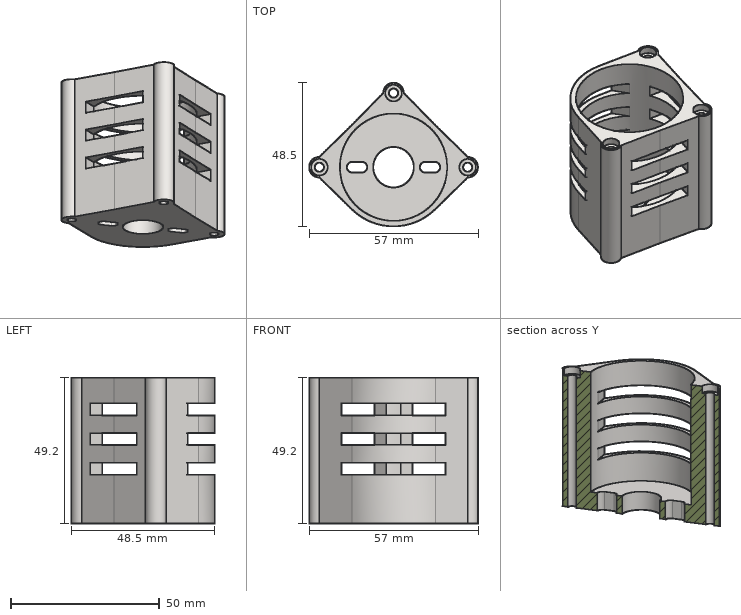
import cadquery as cq
import math

height = 49.25
shell_radius = 20.0
bore_radius = 18.1
boss_radius = 3.5
boss_offset = 25.0

base_thickness = 6.5
center_hole_diameter = 13.6
slot_length = 6.8
slot_width = 3.5
slot_offset = 12.3

screw_diameter = 3.0
screw_head_diameter = 5.6
screw_head_depth = 2.5

window_count = 3
window_height = 4.0
window_pitch = 10.0
first_window_z = 16.5
rear_window_width = 22.0
front_window_width = 35.0
cutter_reach = 40.0

boss_centers = [(-boss_offset, 0), (boss_offset, 0), (0, boss_offset)]


def polar(radius, angle):
    """Point at a radius and an angle in radians from +X."""
    return (radius * math.cos(angle), radius * math.sin(angle))


def mirrored(point):
    """Point reflected across the YZ plane."""
    return (-point[0], point[1])


def make_body():
    """Round shell joined to three corner bosses by flat flanks tangent to the shell."""
    corner_distance = math.hypot(boss_offset, boss_radius)
    corner_angle = math.atan2(boss_radius, boss_offset)
    tangent_angle = corner_angle + math.acos(shell_radius / corner_distance)
    crease_angle = math.radians(45)
    crease_radius = shell_radius / math.cos(tangent_angle - crease_angle)
    rear_crease = polar(crease_radius, crease_angle)
    front_tangent = polar(shell_radius, -tangent_angle)
    front_corner = (boss_offset, -boss_radius)
    side_corner = (boss_offset, boss_radius)
    rear_corner = (boss_radius, boss_offset)
    body = (
        cq.Workplane("XY")
        .moveTo(*front_tangent)
        .lineTo(*front_corner)
        .lineTo(*side_corner)
        .lineTo(*rear_crease)
        .lineTo(*rear_corner)
        .lineTo(*mirrored(rear_corner))
        .lineTo(*mirrored(rear_crease))
        .lineTo(*mirrored(side_corner))
        .lineTo(*mirrored(front_corner))
        .lineTo(*mirrored(front_tangent))
        .threePointArc((0, -shell_radius), front_tangent)
        .close()
        .extrude(height)
    )
    bosses = cq.Workplane("XY").pushPoints(boss_centers).circle(boss_radius).extrude(height)
    return body.union(bosses)


def cut_interior(body):
    """Main bore above the base, plus the round hole and two slots through the base."""
    bore = (
        cq.Workplane("XY", origin=(0, 0, base_thickness))
        .circle(bore_radius)
        .extrude(height - base_thickness)
    )
    center_hole = cq.Workplane("XY").circle(center_hole_diameter / 2).extrude(height)
    slots = (
        cq.Workplane("XY")
        .pushPoints([(-slot_offset, 0), (slot_offset, 0)])
        .slot2D(slot_length, slot_width)
        .extrude(height)
    )
    return body.cut(bore).cut(center_hole).cut(slots)


def cut_screw_holes(body):
    """Counterbored through holes down the bosses."""
    return (
        body.faces(">Z")
        .workplane(origin=(0, 0, height))
        .pushPoints(boss_centers)
        .cboreHole(screw_diameter, screw_head_diameter, screw_head_depth)
    )


def window_cutter(width, angle, bottom):
    """Horizontal box running outward from the axis at an angle in degrees from +X."""
    return (
        cq.Workplane("XY")
        .box(cutter_reach, width, window_height, centered=(False, True, False))
        .rotate((0, 0, 0), (0, 0, 1), angle)
        .translate((0, 0, bottom))
    )


def cut_windows(body):
    """Rows of windows: one through each rear flank and a wide one across the front."""
    windows = [(45, rear_window_width), (135, rear_window_width), (-90, front_window_width)]
    for level in range(window_count):
        bottom = first_window_z + level * window_pitch
        for angle, width in windows:
            body = body.cut(window_cutter(width, angle, bottom))
    return body


result = cut_windows(cut_screw_holes(cut_interior(make_body())))